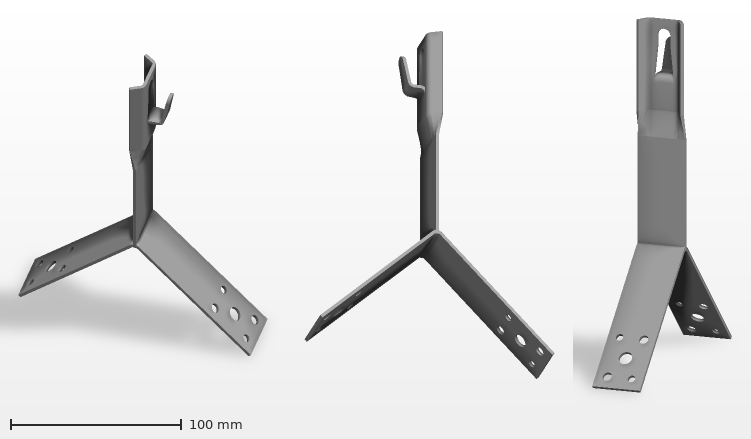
import cadquery as cq
import math

height = 206.6
span = 144.0
width = 30.0
sheet = 2.0
half_width = width / 2
half_sheet = sheet / 2

leg_length = 98.0
leg_angle = 45.0
leg_run = leg_length * math.cos(math.radians(leg_angle))
leg_step = sheet * math.sin(math.radians(leg_angle))
leg_top_x = span / 2 - leg_run
leg_top_z = leg_run + leg_step
leg_bottom_x = leg_top_x - leg_step
leg_bottom_z = leg_top_z - leg_step

centre_hole_diameter = 8.3
large_hole_diameter = 5.5
small_hole_diameter = 4.5
hole_end_distance = 21.0
hole_pitch_along = 27.3
hole_pitch_across = 15.3

strap_bottom_z = 71.7
taper_bottom_z = 136.4
head_bottom_z = 151.7
web_outer_x = 4.85
web_inner_x = web_outer_x - sheet
web_flat_half = 8.0
flange_angle = 60.0
bend_outer_radius = 4.1
bend_inner_radius = bend_outer_radius - sheet

hook_root_z = 168.6
hook_root_radius = 2.5
hook_lean = 10.0
hook_bend_radius = 2.0
hook_bend_start_x = 11.0
hook_tip_z = 193.5
hook_root_half = 6.0
hook_neck_half = 5.4
tongue_radius = 4.1
hook_straight_bottom_z = 188.5
slot_top_z = 201.0
slot_straight_bottom_z = 191.2
hook_shelf_bottom_z = hook_root_z + hook_root_radius
hook_shelf_top_z = hook_shelf_bottom_z + sheet


def make_leg():
    """Right-hand leg; its outline starts along the upper face, outwards and down."""
    outer_x = span / 2
    profile = [
        (leg_top_x, leg_top_z),
        (outer_x, leg_step),
        (outer_x - leg_step, 0),
        (leg_bottom_x, leg_bottom_z),
    ]
    plate = cq.Workplane("XZ").polyline(profile).close().extrude(half_width, both=True)
    slope = math.radians(leg_angle)
    upper_face = cq.Workplane(cq.Plane(
        origin=(outer_x, 0, leg_step),
        xDir=(-math.cos(slope), 0, math.sin(slope)),
        normal=(math.sin(slope), 0, math.cos(slope)),
    ))
    along = hole_pitch_along / 2
    across = hole_pitch_across / 2
    holes = [(0, 0, centre_hole_diameter)]
    for side in (-1, 1):
        holes.append((side * along, side * across, large_hole_diameter))
        holes.append((side * along, -side * across, small_hole_diameter))
    for offset, y, diameter in holes:
        cutter = upper_face.center(hole_end_distance + offset, y).circle(diameter / 2)
        plate = plate.cut(cutter.extrude(sheet, both=True))
    return plate


def make_joint():
    """Weld bar filling the gap between the leg ends and carrying the strap."""
    profile = [
        (-leg_bottom_x, leg_bottom_z),
        (leg_bottom_x, leg_bottom_z),
        (leg_top_x, leg_top_z),
        (half_sheet, strap_bottom_z),
        (-half_sheet, strap_bottom_z),
        (-leg_top_x, leg_top_z),
    ]
    return cq.Workplane("XZ").polyline(profile).close().extrude(half_width, both=True)


def bend_point(radius, degrees):
    """Point on the +Y bend, measured from its web end."""
    angle = math.radians(degrees)
    centre_x = web_outer_x - bend_outer_radius
    return centre_x + radius * math.cos(angle), web_flat_half + radius * math.sin(angle)


def mirrored(point):
    return point[0], -point[1]


bend_outer_mid = bend_point(bend_outer_radius, flange_angle / 2)
bend_outer_end = bend_point(bend_outer_radius, flange_angle)
bend_inner_mid = bend_point(bend_inner_radius, flange_angle / 2)
bend_inner_end = bend_point(bend_inner_radius, flange_angle)
flange_turn = math.radians(flange_angle)
flange_length = (half_width - bend_outer_end[1]) / math.cos(flange_turn)
tip_outer = (bend_outer_end[0] - flange_length * math.sin(flange_turn), half_width)
tip_inner = (
    tip_outer[0] - sheet * math.cos(flange_turn),
    half_width - sheet * math.sin(flange_turn),
)


def draw_head_section(plane):
    """Trough section: web, two round bends and two slanted flanges."""
    return (
        plane.moveTo(web_outer_x, -web_flat_half)
        .lineTo(web_outer_x, web_flat_half)
        .threePointArc(bend_outer_mid, bend_outer_end)
        .lineTo(*tip_outer)
        .lineTo(*tip_inner)
        .lineTo(*bend_inner_end)
        .threePointArc(bend_inner_mid, (web_inner_x, web_flat_half))
        .lineTo(web_inner_x, -web_flat_half)
        .threePointArc(mirrored(bend_inner_mid), mirrored(bend_inner_end))
        .lineTo(*mirrored(tip_inner))
        .lineTo(*mirrored(tip_outer))
        .lineTo(*mirrored(bend_outer_end))
        .threePointArc(mirrored(bend_outer_mid), (web_outer_x, -web_flat_half))
        .close()
    )


def draw_flat_section(plane):
    """Strap rectangle, divided like the head section so that the loft joins matching edges."""
    outer_breaks = (-web_flat_half, web_flat_half, bend_outer_end[1], half_width)
    inner_breaks = (half_width, bend_inner_end[1], web_flat_half)
    points = [(half_sheet, y) for y in outer_breaks]
    points += [(-half_sheet, y) for y in inner_breaks]
    points += [(-half_sheet, -y) for y in reversed(inner_breaks)]
    points += [(half_sheet, -half_width), (half_sheet, -bend_outer_end[1])]
    return plane.polyline(points).close()


def tongue(base_z, base_half, straight_z, top_z):
    """Round-topped outline in YZ, widening downwards, as a block through the sheet."""
    centre_z = top_z - tongue_radius
    return (
        cq.Workplane("YZ")
        .moveTo(-base_half, base_z)
        .lineTo(base_half, base_z)
        .lineTo(tongue_radius, straight_z)
        .lineTo(tongue_radius, centre_z)
        .threePointArc((0, top_z), (-tongue_radius, centre_z))
        .lineTo(-tongue_radius, straight_z)
        .close()
        .extrude(span / 2)
    )


def root_block():
    """Full-width block from the hook root up to the top of its shelf."""
    return cq.Workplane("XY").box(
        span / 2, 2 * hook_root_half, hook_shelf_top_z - hook_root_z, centered=(False, True, False)
    ).translate((0, 0, hook_root_z))


def make_hook():
    lean = math.radians(hook_lean)
    root_centre_x = web_outer_x + hook_root_radius
    root_outer_radius = hook_root_radius + sheet
    bend_centre_z = hook_shelf_top_z + hook_bend_radius
    sin45 = math.sin(math.radians(45))

    def on_root(radius):
        return root_centre_x - radius * sin45, hook_root_z + radius * sin45

    def on_bend(radius, degrees):
        """Point on the upward bend, turned from its lowest point."""
        angle = math.radians(degrees)
        return hook_bend_start_x + radius * math.sin(angle), bend_centre_z - radius * math.cos(angle)

    def at_tip(start):
        return start[0] + (hook_tip_z - start[1]) * math.tan(lean), hook_tip_z

    turn = 90 - hook_lean
    outer = hook_bend_radius + sheet
    profile = (
        cq.Workplane("XZ")
        .moveTo(web_outer_x, hook_root_z)
        .threePointArc(on_root(hook_root_radius), (root_centre_x, hook_shelf_bottom_z))
        .lineTo(hook_bend_start_x, hook_shelf_bottom_z)
        .threePointArc(on_bend(outer, turn / 2), on_bend(outer, turn))
        .lineTo(*at_tip(on_bend(outer, turn)))
        .lineTo(*at_tip(on_bend(hook_bend_radius, turn)))
        .lineTo(*on_bend(hook_bend_radius, turn))
        .threePointArc(on_bend(hook_bend_radius, turn / 2), (hook_bend_start_x, hook_shelf_top_z))
        .lineTo(root_centre_x, hook_shelf_top_z)
        .threePointArc(on_root(root_outer_radius), (web_inner_x, hook_root_z))
        .close()
        .extrude(half_width, both=True)
    )
    neck_x = hook_bend_start_x + outer
    plan = (
        cq.Workplane("XY")
        .polyline([
            (0, -hook_root_half), (root_centre_x, -hook_root_half),
            (neck_x, -hook_neck_half), (span / 2, -hook_neck_half),
            (span / 2, hook_neck_half), (neck_x, hook_neck_half),
            (root_centre_x, hook_root_half), (0, hook_root_half),
        ])
        .close()
        .extrude(height)
    )
    raised = tongue(hook_shelf_top_z, hook_neck_half, hook_straight_bottom_z, hook_tip_z)
    return profile.intersect(plan).intersect(raised.union(root_block()))


def make_strap():
    shank = (
        cq.Workplane("XY", origin=(0, 0, strap_bottom_z))
        .rect(sheet, width)
        .extrude(taper_bottom_z - strap_bottom_z)
    )
    lower_wire = draw_flat_section(cq.Workplane("XY", origin=(0, 0, taper_bottom_z))).val()
    upper_wire = draw_head_section(cq.Workplane("XY", origin=(0, 0, head_bottom_z))).val()
    taper = cq.Workplane(cq.Solid.makeLoft([lower_wire, upper_wire], True))
    head = draw_head_section(cq.Workplane("XY", origin=(0, 0, head_bottom_z)))
    head = head.extrude(height - head_bottom_z)
    slot = tongue(hook_shelf_top_z, hook_root_half, slot_straight_bottom_z, slot_top_z)
    head = head.cut(slot.union(root_block()))
    return shank.union(taper).union(head).union(make_hook())


strap = make_strap()
joint = make_joint()
right_leg = make_leg()
legs = [right_leg, right_leg.mirror("YZ")]

result = cq.Compound.makeCompound([strap.val(), joint.val(), *[leg.val() for leg in legs]])